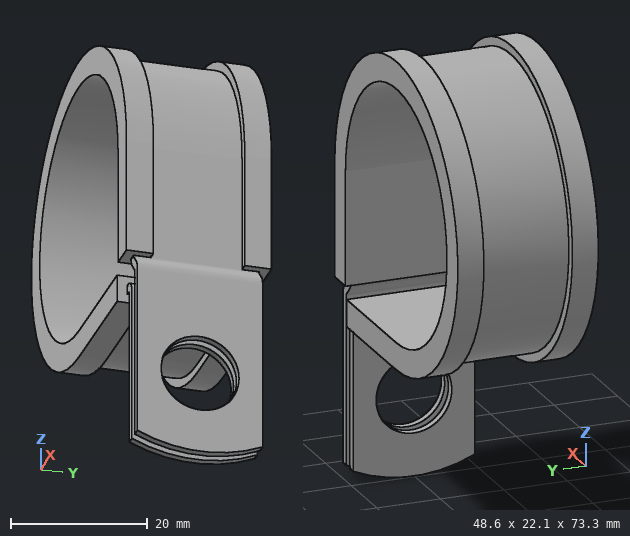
import cadquery as cq
import math

outer_radius = 24.05
inner_radius = 19.8
cushion_width = 22.1
bottom_leg_end = 19.35
side_leg_end = 17.9
groove_width = 13.9
groove_depth = 1.4

strap_thickness = 1.3
strap_width = 19.1
bend_radius = 1.25
jog_angle = math.radians(45)
inner_tab_x = 21.1
outer_tab_x = 23.9
overall_height = 73.3
tab_bottom = outer_radius - overall_height
tab_end_rise = 2.05
hole_diameter = 11.9
hole_z = -36.6

groove_radius = outer_radius - groove_depth
strap_radius = groove_radius - strap_thickness / 2
diagonal = math.sqrt(0.5)


def loop_side(sketch, radius):
    """Trace the vertical leg, the 270 degree arc and the horizontal leg."""
    return (
        sketch.lineTo(radius, 0)
        .threePointArc((-radius * diagonal, radius * diagonal), (0, -radius))
        .lineTo(bottom_leg_end, -radius)
    )


def loop_band(inside, outside, width):
    """Solid band between two loop radii, centred on Y = 0."""
    outline = loop_side(cq.Workplane("XZ").moveTo(outside, -side_leg_end), outside)
    outline = (
        outline.lineTo(bottom_leg_end, -inside)
        .lineTo(0, -inside)
        .threePointArc((-inside * diagonal, inside * diagonal), (inside, 0))
        .lineTo(inside, -side_leg_end)
        .close()
    )
    return outline.extrude(width / 2, both=True)


def make_strap():
    """Sweep the strap section from the outer tab, round the loop, to the inner tab."""
    arc_shift = bend_radius * (1 - math.cos(jog_angle))
    arc_drop = bend_radius * math.sin(jog_angle)
    jog_shift = outer_tab_x - strap_radius
    slope_drop = (jog_shift - 2 * arc_shift) / math.tan(jog_angle)
    jog_bottom = -side_leg_end - 2 * arc_drop - slope_drop

    path = (
        cq.Workplane("XZ")
        .moveTo(outer_tab_x, tab_bottom)
        .lineTo(outer_tab_x, jog_bottom)
        .tangentArcPoint((outer_tab_x - arc_shift, jog_bottom + arc_drop), relative=False)
        .lineTo(strap_radius + arc_shift, -side_leg_end - arc_drop)
        .tangentArcPoint((strap_radius, -side_leg_end), relative=False)
    )
    path = (
        loop_side(path, strap_radius)
        .lineTo(inner_tab_x - bend_radius, -strap_radius)
        .tangentArcPoint((inner_tab_x, -strap_radius - bend_radius), relative=False)
        .lineTo(inner_tab_x, tab_bottom)
    )
    return (
        cq.Workplane("XY", origin=(outer_tab_x, 0, tab_bottom))
        .rect(strap_thickness, strap_width)
        .sweep(path)
    )


def shape_tabs(strap):
    """Round off the tab ends and drill the bolt hole through both tabs."""
    half_width = strap_width / 2
    corner_z = tab_bottom + tab_end_rise
    trim = (
        cq.Workplane("YZ")
        .moveTo(-half_width, corner_z)
        .threePointArc((0, tab_bottom), (half_width, corner_z))
        .lineTo(half_width, tab_bottom)
        .lineTo(-half_width, tab_bottom)
        .close()
        .extrude(2 * outer_radius)
    )
    hole = (
        cq.Workplane("YZ")
        .center(0, hole_z)
        .circle(hole_diameter / 2)
        .extrude(2 * outer_radius)
    )
    return strap.cut(trim).cut(hole)


cushion = loop_band(inner_radius, outer_radius, cushion_width)
groove = loop_band(groove_radius, outer_radius, groove_width)
strap = shape_tabs(make_strap())

result = cushion.cut(groove).union(strap)